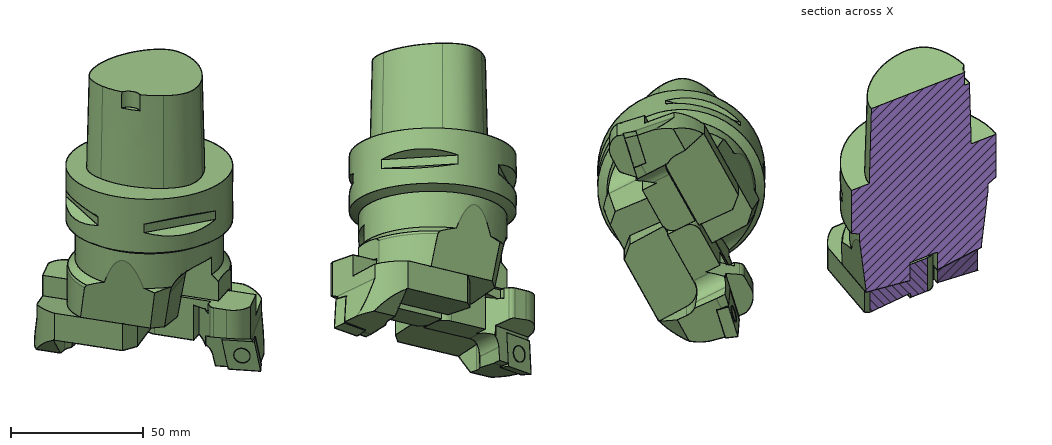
import cadquery as cq
import math

TOP_Z = 116.0
BIG = 139.2
CLEARANCE = 1.2

SHANK_BASE_Z = 78.1
SHANK_BASE_RADIUS = 22.3
SHANK_TOP_RADIUS = 21.3
LOBE_HEIGHT = 1.5
FLANK_HALF_ANGLE = 23.5
NOTCH_RADIUS = 4.6
NOTCH_CENTRE_Y = -22.5
NOTCH_DEPTH = 6.6

FLANGE_RADIUS = 63.0 / 2
FLANGE_BOTTOM_Z = 53.9
FLANGE_RIM_LOW_Z = 55.9
GRIP_FLOOR = 27.8
GRIP_FLOOR_LOW_Z = 64.3
GRIP_FLOOR_HIGH_Z = 67.7
GRIP_FLARE = 2.1

NECK_RADIUS = 56.0 / 2
NECK_BOTTOM_Z = 39.7
SKIRT_RADIUS = 31.0
SKIRT_TOP_Z = 36.0
CONE_RADIUS = 30.6
CONE_BOTTOM_Z = 37.1
SKIRT_HALF_WIDTH = 30.0
FLAT_APEX_Z = 50.3
BODY_HALF_DEPTH = 25.0

KEY_HALF_WIDTH = 5.9
KEY_TOP_Z = 28.4
KEYWAY_TOP_Z = 29.1
SEAT_INNER_Z = 20.0
SEAT_OUTER_Z = 22.7

POCKET_FLOOR_X = 16.9
POCKET_FLOOR_REF_Z = 38.9
POCKET_FLOOR_LEAN = 10.0
POCKET_TOP_Z = 46.7
POCKET_RADIUS = 11.4
POCKET_CHAMFER_REACH = 39.1
POCKET_CHAMFER_LEAN = 10.4

SLIDE_END_X = -2.9
SLIDE_END_CHAMFER = (4.3, 4.6)
BAR_BOTTOM_Z = 11.3
BAR_END_RADIUS = 4.4
WING_BOTTOM_OUTER_Z = 11.6
WING_BOTTOM_INNER_Z = 13.5
ARM_FRONT_Y = -11.0
ARM_CORNER_RADIUS = 7.4
ARM_FLAT_START_X = 30.0
ARM_FLAT_END_X = 35.3
GULLET_START = (20.1, 0.0)
SHOULDER_END = (28.2, -10.0)
SHOULDER_ROUND_MID = (28.9, -10.7)
END_FACE_SKEW = 9.8
BACK_CENTRE = (20.3, 3.7)
BACK_RADIUS = 23.0
LEG_CHAMFER_Y = 17.2
LEG_CHAMFER_Z = 2.8
LEG_BOTTOM_Z = 1.0
LEG_INNER_X = 29.2
LEG_COVE_RADIUS = 7.3
LEG_TOE_X = 28.1
LEG_FILLET_RADIUS = 6.4
FLARE_ANGLE = 10.0
FLARE_START_Z = 13.7
GULLET_ROOF_HIGH_Z = 25.8
GULLET_ROOF_LOW_Z = 24.5
RELIEF_END_X = 26.9
CHIP_START_X = 24.2
CHIP_ROOF_Z = 13.8
CHIP_ROOF_SLOPE = 0.4

INSERT_CORNER = (45.0, -0.3, 0.0)
RAKE_SKEW = 0.2
RAKE_TILT = 0.1
INSERT_WIDTH = 12.4
INSERT_HEIGHT = 12.6
INSERT_LEAN = 2.2
INSERT_THICKNESS = 4.9
INSERT_RELIEF = 5.0
INSERT_RECESS_DIAMETER = 6.3
INSERT_RECESS_DEPTH = 0.2
INSERT_RECESS_PLACE = (-7.1, 6.3)

RAKE_PLANE = cq.Plane(
    origin=INSERT_CORNER,
    xDir=(1, RAKE_SKEW, 0),
    normal=(RAKE_SKEW, -1, -RAKE_TILT),
)


def prism_along_x(points, start_x, end_x):
    """A (y, z) outline extruded from start_x to end_x."""
    return cq.Workplane("YZ").workplane(offset=start_x).polyline(points).close().extrude(end_x - start_x)


def prism_along_y(points, start_y, end_y):
    """An (x, z) outline extruded from start_y to end_y."""
    return cq.Workplane("XZ").workplane(offset=-end_y).polyline(points).close().extrude(end_y - start_y)


def turned(body, angle):
    """The body turned about the tool axis."""
    return body.rotate((0, 0, 0), (0, 0, 1), angle)


def point_on_circle(centre, radius, angle):
    a = math.radians(angle)
    return (centre[0] + radius * math.cos(a), centre[1] + radius * math.sin(a))


def lobed_point(mean_radius, angle, z):
    """Point of the constant-width three-lobed outline whose normal has the given angle."""
    a = math.radians(angle)
    phase = 3 * (a - math.pi / 2)
    reach = mean_radius + LOBE_HEIGHT * math.cos(phase)
    slope = -3 * LOBE_HEIGHT * math.sin(phase)
    x = reach * math.cos(a) - slope * math.sin(a)
    y = reach * math.sin(a) + slope * math.cos(a)
    return cq.Vector(x, y, z)


def outline_direction(angle):
    """Direction along the outline where its normal has the given angle."""
    a = math.radians(angle)
    return cq.Vector(-math.sin(a), math.cos(a), 0)


def lobed_wire(mean_radius, z):
    """Closed outline of three flat flanks and three lobes, each one smooth curve."""
    edges = []
    steps = 6
    for flank in (-90, 30, 150):
        flank_start = flank - FLANK_HALF_ANGLE
        flank_end = flank + FLANK_HALF_ANGLE
        for start, end in ((flank_start, flank_end), (flank_end, flank_start + 120)):
            angles = [start + (end - start) * i / steps for i in range(steps + 1)]
            tangents = [outline_direction(a) for a in (start, end)]
            points = [lobed_point(mean_radius, a, z) for a in angles]
            edges.append(cq.Edge.makeSpline(points, tangents=tangents))
    return cq.Wire.assembleEdges(edges)


def make_shank():
    base = lobed_wire(SHANK_BASE_RADIUS, SHANK_BASE_Z)
    top = lobed_wire(SHANK_TOP_RADIUS, TOP_Z)
    shank = cq.Workplane(cq.Solid.makeLoft([base, top], True))
    notch = (
        cq.Workplane("XY", origin=(0, NOTCH_CENTRE_Y, TOP_Z - NOTCH_DEPTH))
        .circle(NOTCH_RADIUS)
        .extrude(NOTCH_DEPTH)
    )
    return shank.cut(notch)


def make_turned_body():
    outline = [
        (0, SHANK_BASE_Z),
        (FLANGE_RADIUS, SHANK_BASE_Z),
        (FLANGE_RADIUS, FLANGE_RIM_LOW_Z),
        (NECK_RADIUS, FLANGE_BOTTOM_Z),
        (NECK_RADIUS, NECK_BOTTOM_Z),
        (CONE_RADIUS, CONE_BOTTOM_Z),
        (SKIRT_RADIUS, SKIRT_TOP_Z),
        (SKIRT_RADIUS, SEAT_INNER_Z),
        (0, SEAT_INNER_Z),
    ]
    return cq.Workplane("XZ").polyline(outline).close().revolve(360, (0, 0), (0, 1))


def make_grip_notch():
    outer = FLANGE_RADIUS + CLEARANCE
    flare = GRIP_FLARE * (outer - GRIP_FLOOR) / (FLANGE_RADIUS - GRIP_FLOOR)
    outline = [
        (GRIP_FLOOR, GRIP_FLOOR_LOW_Z),
        (GRIP_FLOOR, GRIP_FLOOR_HIGH_Z),
        (outer, GRIP_FLOOR_HIGH_Z + flare),
        (outer, GRIP_FLOOR_LOW_Z - flare),
    ]
    return prism_along_y(outline, -FLANGE_RADIUS, FLANGE_RADIUS)


def make_skirt_envelope():
    """Everything the skirt may fill: plain sides in X, sloping flats in Y, V-shaped seat below."""
    outline = [
        (NECK_RADIUS, FLAT_APEX_Z),
        (BODY_HALF_DEPTH, SEAT_OUTER_Z),
        (KEY_HALF_WIDTH, SEAT_INNER_Z),
        (KEY_HALF_WIDTH, KEYWAY_TOP_Z),
    ]
    mirrored = [(-y, z) for y, z in reversed(outline)]
    return prism_along_x(outline + mirrored, -SKIRT_HALF_WIDTH, SKIRT_HALF_WIDTH)


def make_adapter_pocket():
    """Chip pocket on the +X, -Y corner: leaning floor with a round top, and a chamfered corner."""
    lean = math.radians(POCKET_FLOOR_LEAN)
    centre_z = POCKET_TOP_Z - POCKET_RADIUS

    def floor_x(z):
        return POCKET_FLOOR_X + (z - POCKET_FLOOR_REF_Z) * math.tan(lean)

    centre_x = floor_x(centre_z) + POCKET_RADIUS / math.cos(lean)

    def on_round(angle):
        return point_on_circle((centre_x, centre_z), POCKET_RADIUS, angle)

    tangent_angle = 180 - POCKET_FLOOR_LEAN
    floor = (
        cq.Workplane("XZ", origin=(0, -KEY_HALF_WIDTH, 0))
        .moveTo(floor_x(0), 0)
        .lineTo(*on_round(tangent_angle))
        .threePointArc(on_round((tangent_angle + 90) / 2), on_round(90))
        .lineTo(BIG, POCKET_TOP_Z)
        .lineTo(BIG, 0)
        .close()
        .extrude(BIG)
    )
    chamfer_distance = POCKET_CHAMFER_REACH / math.sqrt(2)
    chamfer_slope = math.tan(math.radians(POCKET_CHAMFER_LEAN))
    low_distance = chamfer_distance - POCKET_FLOOR_REF_Z * chamfer_slope
    high_distance = chamfer_distance + (POCKET_TOP_Z - POCKET_FLOOR_REF_Z) * chamfer_slope
    outline = [(low_distance, 0), (high_distance, POCKET_TOP_Z), (BIG, POCKET_TOP_Z), (BIG, 0)]
    chamfer = turned(prism_along_y(outline, -BIG, BIG), -45)
    return floor.union(chamfer)


def make_adapter():
    body = make_turned_body()
    for quarter in range(4):
        body = body.cut(turned(make_grip_notch(), 45 + 90 * quarter))
    upper = cq.Workplane("XY").box(BIG, BIG, BIG, centered=(True, True, False)).translate((0, 0, FLAT_APEX_Z))
    body = body.intersect(make_skirt_envelope().union(upper))
    pocket = make_adapter_pocket()
    return body.cut(pocket).cut(turned(pocket, 180)).union(make_shank())


def point_on_arm_corner(angle):
    """Point of the rounded front corner of the arm; it meets the end face at -END_FACE_SKEW."""
    centre = (ARM_FLAT_END_X, ARM_FRONT_Y + ARM_CORNER_RADIUS)
    return point_on_circle(centre, ARM_CORNER_RADIUS, angle)


def point_on_back(angle):
    return point_on_circle(BACK_CENTRE, BACK_RADIUS, angle)


def gullet_mouth_x():
    """X at which the gullet wall leaves the front of the bar."""
    run = (SHOULDER_END[0] - GULLET_START[0]) / (SHOULDER_END[1] - GULLET_START[1])
    return GULLET_START[0] + run * (-KEY_HALF_WIDTH - GULLET_START[1])


def make_slide_plan():
    """Plan of one slide without its end face: bar, arm with rounded front and round back."""
    back_start_angle = 0.0
    back_end_angle = math.degrees(math.asin((BODY_HALF_DEPTH - BACK_CENTRE[1]) / BACK_RADIUS))
    chamfer_x, chamfer_y = SLIDE_END_CHAMFER
    arm_tip_angle = -END_FACE_SKEW
    arm_tip = point_on_arm_corner(arm_tip_angle)
    bar_arc = BAR_END_RADIUS * (1 - math.sqrt(0.5))
    return (
        cq.Workplane("XY")
        .moveTo(0, KEY_HALF_WIDTH)
        .lineTo(0, BAR_END_RADIUS - KEY_HALF_WIDTH)
        .threePointArc((bar_arc, bar_arc - KEY_HALF_WIDTH), (BAR_END_RADIUS, -KEY_HALF_WIDTH))
        .lineTo(gullet_mouth_x(), -KEY_HALF_WIDTH)
        .lineTo(*SHOULDER_END)
        .threePointArc(SHOULDER_ROUND_MID, (ARM_FLAT_START_X, ARM_FRONT_Y))
        .lineTo(ARM_FLAT_END_X, ARM_FRONT_Y)
        .threePointArc(point_on_arm_corner((arm_tip_angle - 90) / 2), arm_tip)
        .lineTo(BIG, arm_tip[1])
        .lineTo(BIG, BACK_CENTRE[1])
        .lineTo(*point_on_back(back_start_angle))
        .threePointArc(point_on_back((back_start_angle + back_end_angle) / 2), point_on_back(back_end_angle))
        .lineTo(SLIDE_END_X + chamfer_x, BODY_HALF_DEPTH)
        .lineTo(SLIDE_END_X, BODY_HALF_DEPTH - chamfer_y)
        .lineTo(SLIDE_END_X, KEY_HALF_WIDTH)
        .close()
        .extrude(KEY_TOP_Z)
    )


def make_slide_side():
    """Side outline of one slide: key on top, sloping seat, chamfered leg."""
    outline = [
        (ARM_FRONT_Y, KEY_TOP_Z),
        (KEY_HALF_WIDTH, KEY_TOP_Z),
        (KEY_HALF_WIDTH, SEAT_INNER_Z),
        (BODY_HALF_DEPTH, SEAT_OUTER_Z),
        (BODY_HALF_DEPTH, WING_BOTTOM_OUTER_Z),
        (LEG_CHAMFER_Y, LEG_CHAMFER_Z),
        (0, LEG_BOTTOM_Z),
        (ARM_FRONT_Y, LEG_BOTTOM_Z),
    ]
    return prism_along_x(outline, SLIDE_END_X, BIG)


def make_end_face_cut():
    """Space outside the upright end face and the flared face of the leg below it."""
    skew = math.tan(math.radians(END_FACE_SKEW))
    tip = point_on_arm_corner(-END_FACE_SKEW)
    plane = cq.Plane(origin=(*tip, FLARE_START_Z), xDir=(1, skew, 0), normal=(skew, -1, -RAKE_TILT))
    flare = BIG * math.tan(math.radians(FLARE_ANGLE))
    outline = [(0, 0), (0, BIG), (BIG, BIG), (BIG, -BIG), (flare, -BIG)]
    return cq.Workplane(plane).polyline(outline).close().extrude(BIG / 2, both=True)


def make_leg_inner_cut():
    """Space below the bar, with the leaning toe of the leg and a round into the bar."""
    lean = math.radians(FLARE_ANGLE)
    centre_z = BAR_BOTTOM_Z - LEG_FILLET_RADIUS
    wall_x = LEG_TOE_X - (centre_z - LEG_BOTTOM_Z) * math.tan(lean)
    centre_x = wall_x - LEG_FILLET_RADIUS / math.cos(lean)

    def on_round(angle):
        return point_on_circle((centre_x, centre_z), LEG_FILLET_RADIUS, angle)

    return (
        cq.Workplane("XZ", origin=(0, BODY_HALF_DEPTH, 0))
        .moveTo(LEG_TOE_X + LEG_BOTTOM_Z * math.tan(lean), 0)
        .lineTo(*on_round(FLARE_ANGLE))
        .threePointArc(on_round((FLARE_ANGLE + 90) / 2), on_round(90))
        .lineTo(SLIDE_END_X, BAR_BOTTOM_Z)
        .lineTo(SLIDE_END_X, 0)
        .close()
        .extrude(BIG)
    )


def make_wing_cut():
    """Space below the wing, ending at the upright inner side of the leg with a coved corner."""
    outline = [
        (KEY_HALF_WIDTH, WING_BOTTOM_INNER_Z),
        (BODY_HALF_DEPTH, WING_BOTTOM_OUTER_Z),
        (BODY_HALF_DEPTH, 0),
        (KEY_HALF_WIDTH, 0),
    ]
    cut = prism_along_x(outline, SLIDE_END_X, LEG_INNER_X)
    corner = cq.selectors.NearestToPointSelector((LEG_INNER_X, KEY_HALF_WIDTH, WING_BOTTOM_INNER_Z / 2))
    return cut.edges(corner).fillet(LEG_COVE_RADIUS)


def make_gullet():
    """Chip gullet in the front of the bar, wedge-shaped in plan, below a sloping roof."""
    start_x, start_y = GULLET_START
    plan = [(start_x, -KEY_HALF_WIDTH), GULLET_START, (gullet_mouth_x(), -KEY_HALF_WIDTH)]
    wedge = cq.Workplane("XY").polyline(plan).close().extrude(KEY_TOP_Z)
    roof = [
        (start_x, 0),
        (start_x, GULLET_ROOF_HIGH_Z),
        (RELIEF_END_X, GULLET_ROOF_LOW_Z),
        (RELIEF_END_X, 0),
    ]
    return wedge.intersect(prism_along_y(roof, -KEY_HALF_WIDTH, start_y))


def make_arm_relief():
    """Small clearance at the top of the arm where it meets the key."""
    outline = [
        (GULLET_START[0], GULLET_ROOF_LOW_Z),
        (RELIEF_END_X, GULLET_ROOF_LOW_Z),
        (RELIEF_END_X, KEY_TOP_Z),
        (GULLET_START[0], KEY_TOP_Z),
    ]
    return prism_along_y(outline, ARM_FRONT_Y, -KEY_HALF_WIDTH)


def make_chip_space():
    """Space in front of the rake face below the sloping roof under the arm."""
    front = cq.Workplane(RAKE_PLANE).rect(BIG, BIG).extrude(BIG)
    rake_x, rake_y, _ = INSERT_CORNER
    reach = BODY_HALF_DEPTH
    outline = [
        (rake_y - reach, 0),
        (rake_y - reach, CHIP_ROOF_Z + (reach - RAKE_TILT * CHIP_ROOF_Z) * CHIP_ROOF_SLOPE),
        (rake_y, CHIP_ROOF_Z - RAKE_TILT * CHIP_ROOF_Z * CHIP_ROOF_SLOPE),
        (rake_y, 0),
    ]
    skew = math.degrees(math.atan(RAKE_SKEW))
    space = prism_along_x(outline, CHIP_START_X, BIG)
    space = space.rotate((rake_x, rake_y, 0), (rake_x, rake_y, 1), skew)
    return space.intersect(front)


def make_slide():
    slide = make_slide_plan().intersect(make_slide_side())
    cuts = (
        make_end_face_cut(),
        make_leg_inner_cut(),
        make_wing_cut(),
        make_gullet(),
        make_arm_relief(),
        make_chip_space(),
        make_insert_blank(),
    )
    for cut in cuts:
        slide = slide.cut(cut)
    return slide


def make_insert_blank():
    outline = [
        (0, 0),
        (-INSERT_LEAN, INSERT_HEIGHT),
        (-INSERT_LEAN - INSERT_WIDTH, INSERT_HEIGHT),
        (-INSERT_WIDTH, 0),
    ]
    return cq.Workplane(RAKE_PLANE).polyline(outline).close().extrude(-INSERT_THICKNESS, taper=INSERT_RELIEF)


def make_insert():
    recess = (
        cq.Workplane(RAKE_PLANE)
        .center(*INSERT_RECESS_PLACE)
        .circle(INSERT_RECESS_DIAMETER / 2)
        .extrude(-INSERT_RECESS_DEPTH)
    )
    return make_insert_blank().cut(recess)


adapter = make_adapter()
slides = []
inserts = []
for turn in (0, 180):
    slides.append(turned(make_slide(), turn))
    inserts.append(turned(make_insert(), turn))

bodies = [adapter, *slides, *inserts]
result = cq.Compound.makeCompound([body.solids().val() for body in bodies])